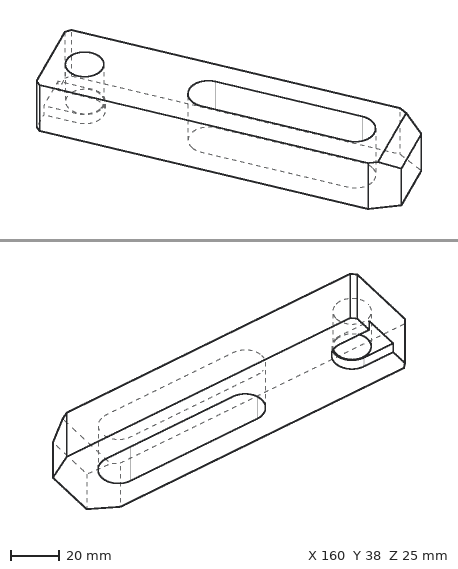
import cadquery as cq
import math

length = 160.0
width = 38.0
height = 25.0

rear_chamfer = 2.0
nose_angle = math.radians(30)
nose_width = 24.0
nose_bevel_drop = 5.0
nose_taper_length = (width - nose_width) / 2 / math.tan(nose_angle)
nose_bevel_length = nose_bevel_drop / math.tan(nose_angle)

hole_x = 15.0
hole_diameter = 16.0

slot_start = 61.5
slot_end = 143.5
slot_width = 17.0

groove_width = slot_width
groove_depth = 5.0
groove_end_center = hole_x


def make_body():
    """Bar with chamfered rear corners and a nose narrowing in plan."""
    half_width = width / 2
    half_nose = nose_width / 2
    taper_start = length - nose_taper_length
    outline = [
        (0, half_width - rear_chamfer),
        (rear_chamfer, half_width),
        (taper_start, half_width),
        (length, half_nose),
        (length, -half_nose),
        (taper_start, -half_width),
        (rear_chamfer, -half_width),
        (0, -half_width + rear_chamfer),
    ]
    return cq.Workplane("XY").polyline(outline).close().extrude(height)


def make_nose_bevel():
    """Wedge removed from the top of the nose."""
    wedge = [
        (length - nose_bevel_length, height),
        (length, height),
        (length, height - nose_bevel_drop),
    ]
    return cq.Workplane("XZ").polyline(wedge).close().extrude(width / 2, both=True)


def make_hole():
    return cq.Workplane("XY").center(hole_x, 0).circle(hole_diameter / 2).extrude(height)


def make_slot():
    slot_center = (slot_start + slot_end) / 2
    slot_length = slot_end - slot_start
    return cq.Workplane("XY").center(slot_center, 0).slot2D(slot_length, slot_width).extrude(height)


def make_groove():
    half_groove = groove_width / 2
    return (
        cq.Workplane("XY")
        .moveTo(0, -half_groove)
        .lineTo(groove_end_center, -half_groove)
        .threePointArc((groove_end_center + half_groove, 0), (groove_end_center, half_groove))
        .lineTo(0, half_groove)
        .close()
        .extrude(groove_depth)
    )


result = make_body().cut(make_nose_bevel()).cut(make_hole()).cut(make_slot()).cut(make_groove())